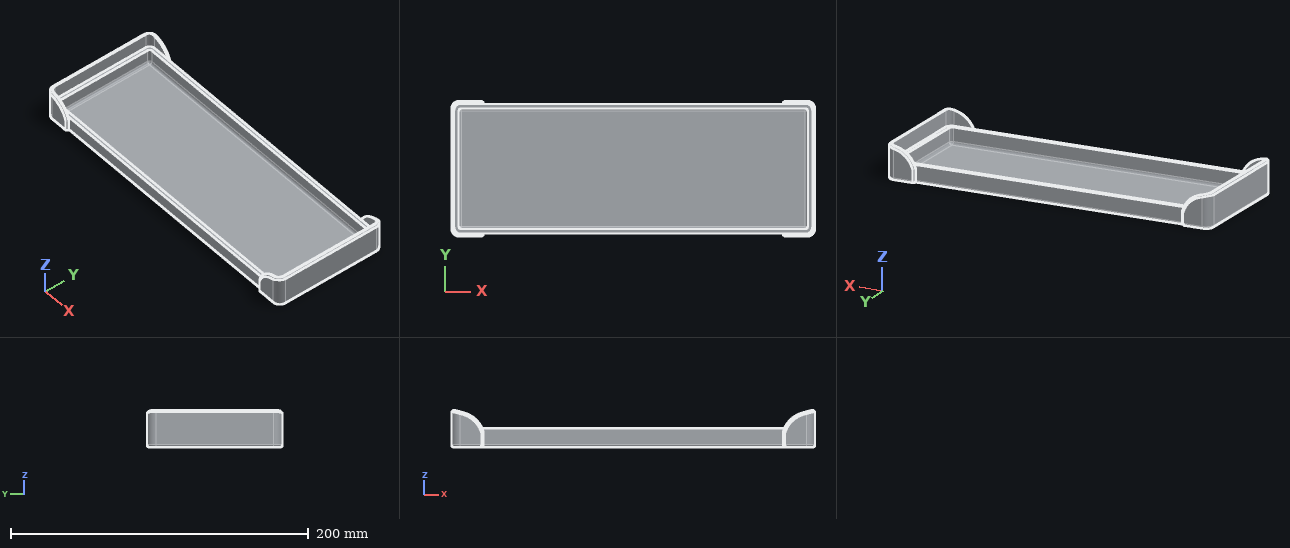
import math

import cadquery as cq

length = 244.34
width = 91.2
height = 25.1
corner_radius = 6.0

tray_height = 13.0
tray_wall = 3.0
floor_thickness = 1.0
cavity_corner_radius = 2.0
cavity_floor_fillet = 1.99
bottom_fillet = 2.0

guard_thickness = 2.0
guard_chamfer = 1.45
guard_reach = 21.7
guard_end_height = 10.1
crest_length = 1.2
bend_radius = 8.0
slope_angle = 15.0
slope_end_x = 8.1

tray_length = length - 2 * guard_thickness
tray_width = width - 2 * guard_thickness
tray_corner_radius = corner_radius - guard_thickness
left_end = -length / 2
guard_end_x = left_end + guard_reach

tolerance = 0.01


def rounded_block(size_x, size_y, size_z, radius):
    """Upright block standing on Z = 0 with rounded vertical edges."""
    block = cq.Workplane("XY").box(size_x, size_y, size_z, centered=(True, True, False))
    return block.edges("|Z").fillet(radius)


def guard_side_shape():
    """Side outline of the left guard, extruded across the full width.

    From the end inward the top is level, bends into a gentle slope, then falls along an arc.
    """
    angle = math.radians(slope_angle)
    bend_end_x = crest_length + bend_radius * math.sin(angle)
    bend_end_z = height - bend_radius * (1 - math.cos(angle))
    slope_end_z = bend_end_z - (slope_end_x - bend_end_x) * math.tan(angle)
    return (
        cq.Workplane("XZ", origin=(left_end, 0, 0))
        .lineTo(0, height)
        .lineTo(crest_length, height)
        .tangentArcPoint((bend_end_x, bend_end_z), relative=False)
        .lineTo(slope_end_x, slope_end_z)
        .tangentArcPoint((guard_reach, guard_end_height), relative=False)
        .lineTo(guard_reach, 0)
        .close()
        .extrude(width / 2, both=True)
    )


def is_rim(edge):
    """True where the outer wall of the guard meets its top or its inward end."""
    box = edge.BoundingBox()
    crosses_inside = box.ymax - box.ymin > corner_radius and box.xmax > left_end + tolerance
    on_base = box.zmax < tolerance
    wall_seam = box.zmin < tolerance and box.xmax < guard_end_x - tolerance
    return not (crosses_inside or on_base or wall_seam)


def left_guard():
    """Guard at the left end, chamfered along its outer rim and hollowed to fit the tray."""
    block = rounded_block(length, width, height, corner_radius).intersect(guard_side_shape())
    rim = [edge for edge in block.edges().vals() if is_rim(edge)]
    core = rounded_block(tray_length, tray_width, height, tray_corner_radius)
    return block.newObject(rim).chamfer(guard_chamfer).cut(core)


def tray_cavity():
    """Pocket of the tray with rounded corners and a rounded floor edge."""
    size_x = tray_length - 2 * tray_wall
    size_y = tray_width - 2 * tray_wall
    pocket = rounded_block(size_x, size_y, height, cavity_corner_radius)
    pocket = pocket.faces("<Z").edges().fillet(cavity_floor_fillet)
    return pocket.translate((0, 0, floor_thickness))


guard = left_guard()
tray = rounded_block(tray_length, tray_width, tray_height, tray_corner_radius)
body = tray.union(guard).union(guard.mirror("YZ")).clean()
body = body.faces("<Z").edges().fillet(bottom_fillet)
result = body.cut(tray_cavity())